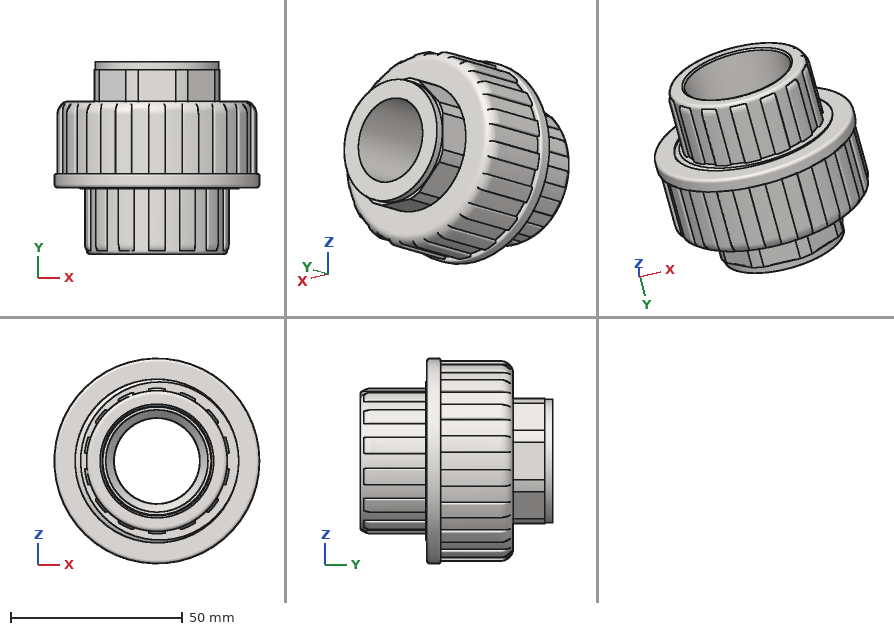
import cadquery as cq

mouth_y = -28.15
tail_y = 28.15
nut_front_y = -8.7
flange_back_y = -4.6
nut_back_y = 16.55
flats_end_y = 25.75

flange_radius = 30
flange_front_round = 1.0
flange_back_round = 0.6
grip_radius = 28.45
grip_round = 2.5
grip_rib_radius = 29.3
grip_rib_round = 3.85
grip_rib_count = 18
nut_lip_thickness = 4.55
nut_lip_y = nut_back_y - nut_lip_thickness

collar_radius = 47.8 / 2
collar_end_radius = 23.1
collar_end_offset = collar_radius - collar_end_radius
collar_end_height = 0.25
collar_taper_length = 0.7
socket_radius = 41.1 / 2
socket_round = 1.15
socket_rib_radius = 21.25
socket_rib_round = 2.9
socket_rib_count = 14
flats_width = 36.6
flats_corner_radius = 38.2 / 2
tail_radius = 36.2 / 2

mouth_chamfer_radius = 33.25 / 2
mouth_chamfer_depth = 0.5
socket_bore_radius = 16.0
socket_bore_end_radius = 15.85
socket_depth = 22.2
throat_cone_radius = 14.95
bore_radius = 25.0 / 2
throat_cone_length = 3.3

rib_width = 4.85
rib_edge_round = 0.4
rib_embed = 2.4


def cylinder(radius, start_y, end_y):
    """Solid cylinder on the Y axis."""
    plane = cq.Plane(origin=(0, start_y, 0), xDir=(1, 0, 0), normal=(0, 1, 0))
    return cq.Workplane(plane).circle(radius).extrude(end_y - start_y)


def cone(start_radius, end_radius, start_y, end_y):
    """Solid cone frustum on the Y axis."""
    outline = [(0, start_y), (start_radius, start_y), (end_radius, end_y), (0, end_y)]
    return cq.Workplane("XY").polyline(outline).close().revolve(360, (0, 0, 0), (0, 1, 0))


def ribs(count, root_radius, top_radius, top_round, start_y, end_y, rounded_end):
    """Evenly spaced ribs along Y, the first at +Z, with a round running down to one end."""
    height = top_radius - root_radius + rib_embed
    sector = cq.Workplane("XY").box(rib_width, end_y - start_y, height)
    sector = sector.translate((0, (start_y + end_y) / 2, top_radius - height / 2))
    envelope = cylinder(top_radius, start_y, end_y).faces(rounded_end).edges().fillet(top_round)
    rib = sector.intersect(envelope)
    rib = rib.edges("|Y").edges(">Z").fillet(rib_edge_round)
    return [rib.rotate((0, 0, 0), (0, 1, 0), 360 / count * i) for i in range(count)]


def make_union_nut():
    flange = (
        cylinder(flange_radius, nut_front_y, flange_back_y)
        .faces("<Y").edges().fillet(flange_front_round)
        .faces(">Y").edges().fillet(flange_back_round)
    )
    grip = cylinder(grip_radius, nut_front_y + flange_front_round, nut_back_y)
    nut = flange.union(grip.faces(">Y").edges().fillet(grip_round))
    for rib in ribs(
        grip_rib_count, grip_radius, grip_rib_radius, grip_rib_round,
        flange_back_y - flange_back_round, nut_back_y, ">Y",
    ):
        nut = nut.union(rib)
    nut = nut.cut(cylinder(collar_radius, nut_front_y, nut_lip_y))
    return nut.cut(cylinder(flats_corner_radius, nut_lip_y, nut_back_y))


def make_collar():
    """Collar filling the nut, with an off-centre tapered end standing proud of the nut."""
    collar_end_y = nut_front_y - collar_end_height
    taper_base_y = collar_end_y + collar_taper_length
    collar = cylinder(collar_radius, taper_base_y, nut_lip_y)
    taper = cq.Solid.makeLoft(
        [
            cq.Wire.makeCircle(collar_radius, cq.Vector(0, taper_base_y, 0), cq.Vector(0, 1, 0)),
            cq.Wire.makeCircle(
                collar_end_radius,
                cq.Vector(collar_end_offset, collar_end_y, 0),
                cq.Vector(0, 1, 0),
            ),
        ],
        True,
    )
    return collar.union(cq.Workplane(taper))


def make_ribbed_socket():
    socket = cylinder(socket_radius, mouth_y, nut_front_y).faces("<Y").edges().fillet(socket_round)
    for rib in ribs(
        socket_rib_count, socket_radius, socket_rib_radius, socket_rib_round,
        mouth_y, nut_front_y, "<Y",
    ):
        socket = socket.union(rib)
    return socket


def make_tail():
    """Eight flats with rounded corners, ending in a plain ring."""
    flats_length = flats_end_y - nut_lip_y
    square = cq.Workplane("XY").box(flats_width, flats_length, flats_width)
    flats = square.intersect(square.rotate((0, 0, 0), (0, 1, 0), 45))
    flats = flats.translate((0, nut_lip_y + flats_length / 2, 0))
    flats = flats.intersect(cylinder(flats_corner_radius, nut_lip_y, flats_end_y))
    return flats.union(cylinder(tail_radius, nut_lip_y, tail_y))


def make_bore():
    chamfer_end_y = mouth_y + mouth_chamfer_depth
    shoulder_y = mouth_y + socket_depth
    throat_y = shoulder_y + throat_cone_length
    return (
        cone(mouth_chamfer_radius, socket_bore_radius, mouth_y, chamfer_end_y)
        .union(cone(socket_bore_radius, socket_bore_end_radius, chamfer_end_y, shoulder_y))
        .union(cone(throat_cone_radius, bore_radius, shoulder_y, throat_y))
        .union(cylinder(bore_radius, throat_y, tail_y))
    )


def make_socket_body():
    return make_collar().union(make_ribbed_socket()).union(make_tail()).cut(make_bore())


socket_body = make_socket_body()
union_nut = make_union_nut()

result = cq.Compound.makeCompound([socket_body.val(), union_nut.val()])